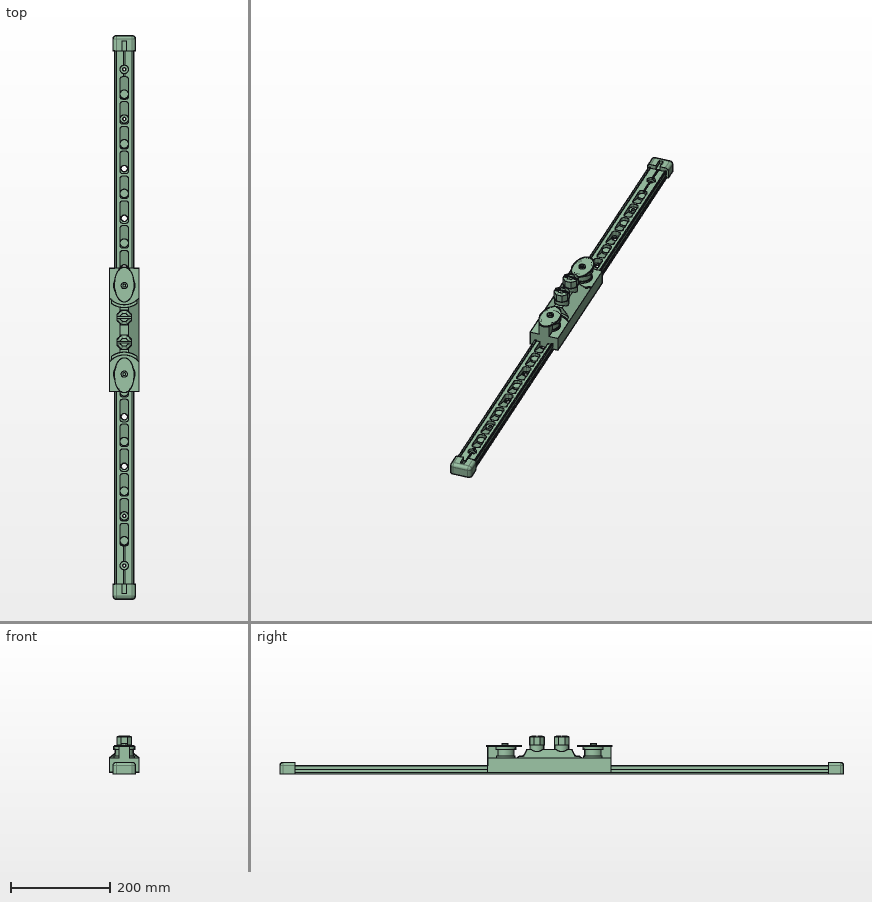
import cadquery as cq
import math

length = 1136.0
total_height = 77.0

rail_width = 39.0
rail_height = 17.0
lip_width = 3.0
lip_height = 2.0
floor_top = rail_height - lip_height
side_groove_depth = 2.0
side_groove_bottom = 3.0
side_groove_top = 9.0

pocket_count = 19
first_pocket_y = 485.0
pocket_pitch = 50.0
pocket_length = 45.0
pocket_width = 17.0
pocket_corner = 6.0
pocket_floor = 3.0
ramp_length = 32.0
seat_diameter = pocket_width
window_diameter = 12.0
window_pockets = (3, 5, 7, 9, 11, 13, 15)
screw_pockets = (1, 17)
seat_drop = 6.0
seat_offset = 10.0

screw_y = 500.0
screw_head_diameter = 17.0
screw_head_depth = 6.0
screw_hole_diameter = 6.2
centre_groove_width = 2.0
centre_groove_depth = 3.0

cap_width = 45.0
cap_length = 31.0
cap_height = 24.0
cap_corner = 7.0
cap_rim = 7.0
cap_notch_width = 8.5
cap_notch_length = 19.0
cap_notch_depth = 8.0

carriage_y = -25.0
carriage_length = 249.0
carriage_width = 60.0
carriage_bottom = 3.0
carriage_top = 33.0

ridge_top = 50.0
ridge_top_width = 17.0
ridge_cut_radius = 44.0
ridge_step_radius = 39.0
ridge_step_top = 36.0

pivot_offset = 89.1
drum_radius = 18.0
drum_base_radius = 20.0
drum_base_top = 36.0
flange_radius = 22.0
flange_bottom = 50.0
plate_bottom = 56.0
plate_top = 58.0
plate_length = 70.0
plate_width = 40.0
plate_shift = 2.0
block_width = 22.0
bolt_diameter = 12.0
bolt_top = 61.0
socket_diameter = 6.0
socket_depth = 3.0

knob_spacing = 50.0
knob_sides = 8
knob_flats = 30.0
knob_shoulder = 75.0
knob_head_bottom = 59.0
knob_stem_diameter = 28.0
knob_crown_inset = 7.0
knob_slot_width = 3.0
knob_slot_depth = 2.0


def box(width, depth, z_bottom, z_top, x=0.0, y=0.0):
    """Box centred on (x, y) between two heights."""
    size_z = z_top - z_bottom
    return cq.Workplane("XY").box(width, depth, size_z, centered=(True, True, False)).translate((x, y, z_bottom))


def cylinder(diameter, z_bottom, z_top, y=0.0):
    """Upright cylinder on the centre plane."""
    return cq.Workplane("XY").circle(diameter / 2).extrude(z_top - z_bottom).translate((0, y, z_bottom))


def make_pocket(y_high):
    """Pocket that ramps down from its +Y end to a flat floor at its -Y end."""
    y_low = y_high - pocket_length
    outline = [
        (y_high, rail_height),
        (y_high, floor_top),
        (y_high - ramp_length, pocket_floor),
        (y_low, pocket_floor),
        (y_low, rail_height),
    ]
    pocket = cq.Workplane("YZ").polyline(outline).close().extrude(pocket_width / 2, both=True)
    return pocket.edges("|Z and (<Y or >Y)").fillet(pocket_corner)


def make_rail():
    rail = box(rail_width, length - cap_length, 0, rail_height)
    rail = rail.cut(box(rail_width - 2 * lip_width, length, floor_top, rail_height))
    for side in (-1, 1):
        side_x = side * rail_width / 2
        rail = rail.cut(box(2 * side_groove_depth, length, side_groove_bottom, side_groove_top, side_x))
    last_pocket_end = first_pocket_y - (pocket_count - 1) * pocket_pitch - pocket_length
    for end, groove_start in ((1, first_pocket_y), (-1, last_pocket_end)):
        groove_end = end * (length / 2 - cap_length)
        groove_y = (groove_start + groove_end) / 2
        groove_length = abs(groove_end - groove_start)
        rail = rail.cut(
            box(centre_groove_width, groove_length, floor_top - centre_groove_depth, floor_top, 0, groove_y)
        )
        rail = rail.cut(cylinder(screw_head_diameter, floor_top - screw_head_depth, floor_top, end * screw_y))
        rail = rail.cut(cylinder(screw_hole_diameter, 0, floor_top, end * screw_y))

    for index in range(pocket_count):
        y_high = first_pocket_y - index * pocket_pitch
        seat_y = y_high - pocket_length + seat_offset
        rail = rail.cut(make_pocket(y_high))
        if index in window_pockets:
            rail = rail.cut(cylinder(window_diameter, 0, floor_top, seat_y))
        else:
            rail = rail.union(cylinder(seat_diameter, 0, floor_top - seat_drop, seat_y))
        if index in screw_pockets:
            rail = rail.cut(cylinder(screw_hole_diameter, 0, floor_top, seat_y))
    return rail


def make_end_cap(end):
    cap_y = end * (length - cap_length) / 2
    cap = box(cap_width, cap_length, 0, cap_height, 0, cap_y)
    outer_side = ">Y" if end > 0 else "<Y"
    cap = cap.faces(outer_side).edges("|Z").fillet(cap_corner)
    rail_side = "<Y" if end > 0 else ">Y"
    cap = cap.faces(">Z").edges("not " + rail_side).fillet(cap_rim)
    notch_y = end * (length / 2 - cap_length + cap_notch_length / 2)
    return cap.cut(box(cap_notch_width, cap_notch_length, cap_height - cap_notch_depth, cap_height, 0, notch_y))


def make_ridge():
    outline = [
        (-carriage_width / 2, carriage_top),
        (carriage_width / 2, carriage_top),
        (ridge_top_width / 2, ridge_top),
        (-ridge_top_width / 2, ridge_top),
    ]
    ridge = cq.Workplane("XZ").polyline(outline).close().extrude(pivot_offset, both=True)
    for end in (-1, 1):
        ridge = ridge.cut(cylinder(2 * ridge_cut_radius, ridge_step_top, ridge_top, end * pivot_offset))
        ridge = ridge.cut(cylinder(2 * ridge_step_radius, carriage_top, ridge_step_top, end * pivot_offset))
    return ridge


def make_clamp(end):
    """Clamp at one end of the carriage, placed relative to the carriage centre."""
    pivot_y = end * pivot_offset
    block_length = carriage_length / 2 - pivot_offset
    clamp = cylinder(2 * drum_radius, carriage_top, plate_bottom, pivot_y)
    clamp = clamp.union(cylinder(2 * drum_base_radius, carriage_top, drum_base_top, pivot_y))
    clamp = clamp.union(
        box(block_width, block_length, carriage_top, plate_bottom, 0, pivot_y + end * block_length / 2)
    )
    clamp = clamp.union(cylinder(2 * flange_radius, flange_bottom, plate_bottom, pivot_y))
    plate = cq.Workplane("XY").ellipse(plate_width / 2, plate_length / 2).extrude(plate_top - plate_bottom)
    clamp = clamp.union(plate.translate((0, pivot_y + end * plate_shift, plate_bottom)))
    clamp = clamp.union(cylinder(bolt_diameter, plate_top, bolt_top, pivot_y))
    return clamp.cut(cylinder(socket_diameter, bolt_top - socket_depth, bolt_top, pivot_y))


def make_knob(y):
    """Round stem with a slotted octagonal head and a sloping crown."""
    corner_diameter = knob_flats / math.cos(math.pi / knob_sides)
    head = cq.Workplane("XY").polygon(knob_sides, corner_diameter).extrude(total_height - knob_head_bottom)
    head = head.faces(">Z").chamfer(total_height - knob_shoulder, knob_crown_inset)
    head = head.rotate((0, 0, 0), (0, 0, 1), 180 / knob_sides).translate((0, y, knob_head_bottom))
    slot = box(knob_flats, knob_slot_width, total_height - knob_slot_depth, total_height, 0, y)
    return head.cut(slot).union(cylinder(knob_stem_diameter, carriage_top, knob_head_bottom, y))


def make_carriage():
    carriage = box(carriage_width, carriage_length, carriage_bottom, carriage_top)
    carriage = carriage.union(make_ridge())
    for end in (-1, 1):
        carriage = carriage.union(make_clamp(end))
        carriage = carriage.union(make_knob(end * knob_spacing / 2))
    return carriage.translate((0, carriage_y, 0))


result = make_rail().union(make_end_cap(1)).union(make_end_cap(-1)).union(make_carriage())